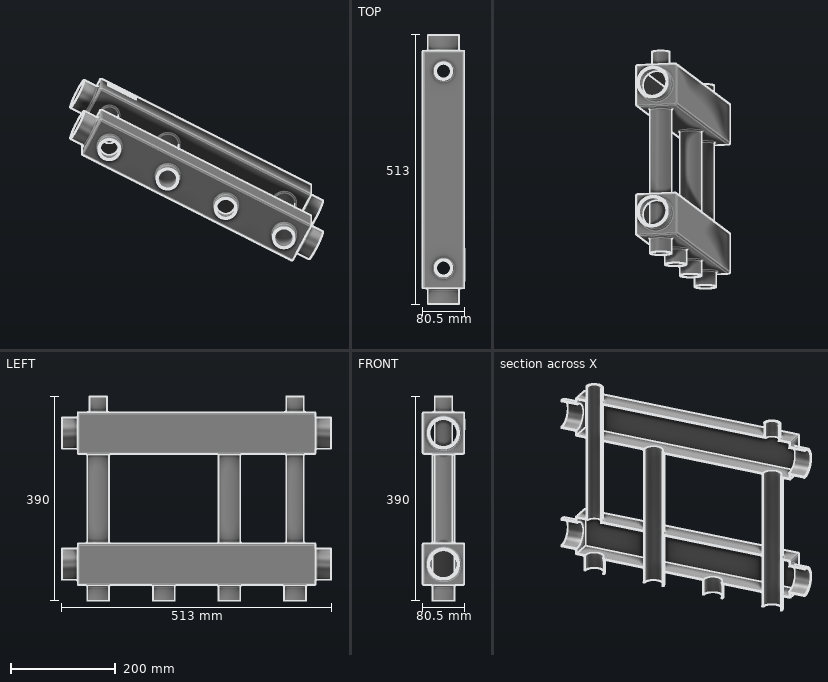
import cadquery as cq
import math

total_length = 513
total_height = 390.0

box_width = 80.0
box_length = 453.0
box_wall = 3.0
box_pitch = 250.0
long_edge_radius = 3.5
end_edge_radius = 2.0

end_pipe = (60.0, 53.0)
large_pipe = (42.0, 36.5)
small_pipe = (34.0, 27.5)
mouth_chamfer = 0.5

weld_size = 2.8
weld_overlap = 1.5

pipe_row_length = 375.0
pipe_pitch = pipe_row_length / 3
front_y = -1.5 * pipe_pitch
front_middle_y = -0.5 * pipe_pitch
back_middle_y = 0.5 * pipe_pitch
back_y = 1.5 * pipe_pitch

plate_length = 61.0
plate_height = 18.0
plate_thickness = 0.5
plate_end_offset = 15.0
plate_top_offset = 15.0

upper_box_z = box_pitch / 2
lower_box_z = -upper_box_z
box_levels = (lower_box_z, upper_box_z)
half_box = box_width / 2
half_cavity = half_box - box_wall
cavity_width = 2 * half_cavity
cavity_length = box_length - 2 * box_wall
upper_ceiling = upper_box_z + half_cavity
upper_floor = upper_box_z - half_cavity
lower_ceiling = lower_box_z + half_cavity
lower_floor = lower_box_z - half_cavity
top_z = total_height / 2
bottom_z = -top_z

vertical_pipes = [
    (front_y, small_pipe, lower_ceiling, top_z),
    (back_y, small_pipe, upper_ceiling, top_z),
    (front_middle_y, large_pipe, bottom_z, upper_floor),
    (back_y, large_pipe, bottom_z, upper_floor),
    (front_y, large_pipe, bottom_z, lower_floor),
    (back_middle_y, large_pipe, bottom_z, lower_floor),
]


def vertical_cylinder(y, diameter, low, high):
    return cq.Workplane("XY", origin=(0, y, low)).circle(diameter / 2).extrude(high - low)


def lengthwise_cylinder(z, diameter, length):
    return cq.Workplane("XZ", origin=(0, 0, z)).circle(diameter / 2).extrude(length / 2, both=True)


def weld_bead(diameter):
    """Concave ring around a vertical pipe, standing on the plane z = 0."""
    pipe_radius = diameter / 2
    inner_radius = pipe_radius - weld_overlap
    outer_radius = pipe_radius + weld_size
    arc_reach = weld_size * math.sqrt(0.5)
    return (
        cq.Workplane("XZ")
        .moveTo(inner_radius, 0)
        .lineTo(outer_radius, 0)
        .threePointArc((outer_radius - arc_reach, weld_size - arc_reach), (pipe_radius, weld_size))
        .lineTo(inner_radius, weld_size)
        .close()
        .revolve(360, (0, 0), (0, 1))
    )


def pipe_welds(y, diameter, low, high):
    """Beads at every box face that a vertical pipe crosses."""
    bead = weld_bead(diameter)
    welds = []
    for box_z in box_levels:
        top_face = box_z + half_box
        bottom_face = box_z - half_box
        if low < top_face < high:
            welds.append(bead.translate((0, y, top_face)))
        if low < bottom_face < high:
            welds.append(bead.mirror("XY").translate((0, y, bottom_face)))
    return welds


def box_shell():
    outside = (
        cq.Workplane("XY")
        .box(box_width, box_length, box_width)
        .edges("|Y")
        .fillet(long_edge_radius)
        .faces("<Y or >Y")
        .edges()
        .fillet(end_edge_radius)
    )
    return outside.cut(cq.Workplane("XY").box(cavity_width, cavity_length, cavity_width))


def header(z):
    """Hollow box with a welded pipe stub on each end, bored into the cavity."""
    outer, inner = end_pipe
    stubs = lengthwise_cylinder(0, outer, total_length).cut(lengthwise_cylinder(0, outer, cavity_length))
    back_weld = weld_bead(outer).rotate((0, 0, 0), (1, 0, 0), -90).translate((0, box_length / 2, 0))
    front_weld = back_weld.mirror("XZ")
    body = box_shell().union(stubs).union(back_weld).union(front_weld)
    return body.cut(lengthwise_cylinder(0, inner, total_length)).translate((0, 0, z))


def name_plate():
    plate_y = -box_length / 2 + plate_end_offset + plate_length / 2
    plate_z = upper_box_z + half_box - plate_top_offset - plate_height / 2
    return (
        cq.Workplane("YZ", origin=(half_box, plate_y, plate_z))
        .rect(plate_length, plate_height)
        .extrude(plate_thickness)
    )


result = name_plate()
for level in box_levels:
    result = result.union(header(level))

for station, (outer_diameter, _), low_end, high_end in vertical_pipes:
    result = result.union(vertical_cylinder(station, outer_diameter, low_end, high_end))
    for weld in pipe_welds(station, outer_diameter, low_end, high_end):
        result = result.union(weld)
for station, (_, inner_diameter), low_end, high_end in vertical_pipes:
    result = result.cut(vertical_cylinder(station, inner_diameter, low_end, high_end))

for mouth_faces in (">Z", "<Z", ">Y", "<Y"):
    result = result.faces(mouth_faces).edges().chamfer(mouth_chamfer)